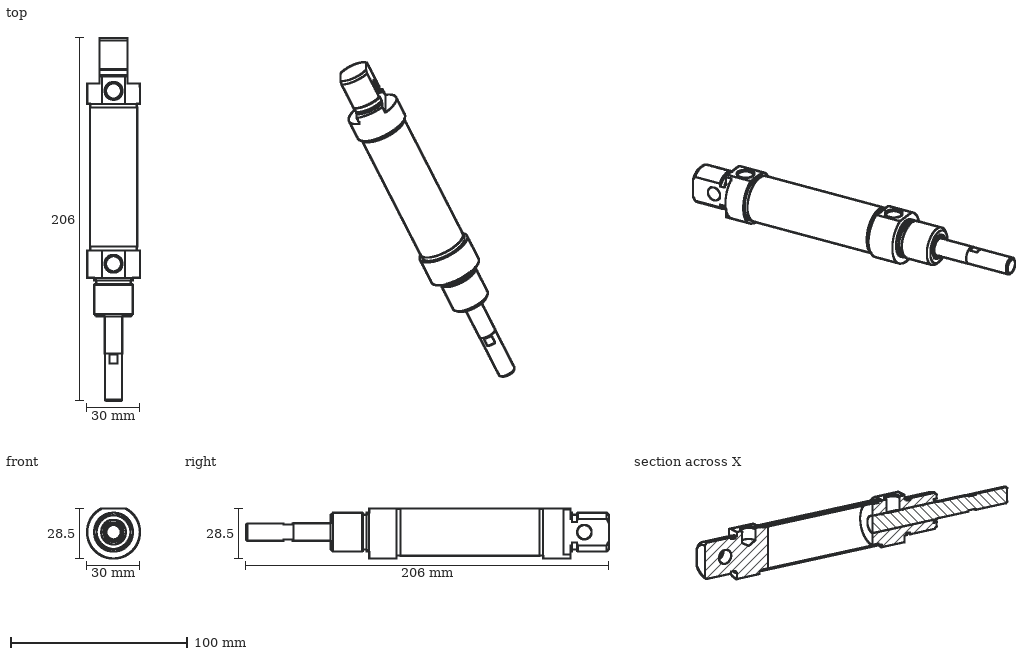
import cadquery as cq

TOTAL_LENGTH = 206.0

BARREL_DIA = 27.0
HEAD_FLAT_Z = BARREL_DIA / 2
BARREL_BORE = 25.0
BARREL_START = 87.8
BARREL_END = 166.7
SPIGOT_LENGTH = 4.1

HEAD_DIA = 30.0
COLLAR_DIA = 26.5
NOSE_DIA = 22.0
UNDERCUT_DIA = 19.8
NOSE_CHAMFER = 1.5
UNDERCUT_CHAMFER = 0.5

PORT_DIA = 8.7
PORT_RIM_DIA = 10.0
REAR_PORT_DEPTH = 7.5
PORT_TIP_DEPTH = 2.5
PORT_CHAMFER = (PORT_RIM_DIA - PORT_DIA) / 2

NOSE_START = 48.0
FRONT_UNDERCUT_START = 66.3
FRONT_UNDERCUT_END = 68.4
FRONT_HEAD_START = 69.8
FRONT_HEAD_END = 85.5
FRONT_PORT_Y = 77.9
FRONT_PORT_DEPTH = HEAD_FLAT_Z
SEAL_RECESS_DIA = 14.0
SEAL_RECESS_DEPTH = 2.0
SEAL_LIP_DIA = 11.1

REAR_HEAD_START = 168.5
REAR_HEAD_END = 184.2
REAR_PORT_Y = 176.0
REAR_UNDERCUT_START = 185.0
REAR_UNDERCUT_END = 187.9
CLEVIS_WIDTH = 16.0
CLEVIS_FLAT_START = 180.2
CLEVIS_HOLE_DIA = 8.0
CLEVIS_HOLE_Y = 192.0

ROD_DIA = 10.0
ROD_END_DIA = 9.9
ROD_SHOULDER_Y = 27.0
ROD_CHAMFER = 0.8
ROD_FLAT_START = 21.5
ROD_FLAT_END = 26.4
ROD_FLAT_SPACING = 8.7


def cylinder(diameter, start, end):
    """Round bar on the Y axis between two stations."""
    return cq.Workplane("XZ", origin=(0, start, 0)).circle(diameter / 2).extrude(start - end)


def block(x_size, z_size, start, end):
    """Rectangular bar centred on the Y axis between two stations."""
    return cq.Workplane("XZ", origin=(0, start, 0)).rect(x_size, z_size).extrude(start - end)


def make_head(start, end):
    """Round cap head with a flat on its top."""
    waste = block(HEAD_DIA, HEAD_DIA, start, end).translate((0, 0, HEAD_FLAT_Z + HEAD_DIA / 2))
    return cylinder(HEAD_DIA, start, end).cut(waste)


def port_cutter(y, depth):
    """Drill shape with a chamfered mouth and a conical tip."""
    profile = [
        (0, HEAD_FLAT_Z),
        (PORT_RIM_DIA / 2, HEAD_FLAT_Z),
        (PORT_DIA / 2, HEAD_FLAT_Z - PORT_CHAMFER),
        (PORT_DIA / 2, HEAD_FLAT_Z - depth),
        (0, HEAD_FLAT_Z - depth - PORT_TIP_DEPTH),
    ]
    drill = cq.Workplane("XZ").polyline(profile).close().revolve(360, (0, 0), (0, 1))
    return drill.translate((0, y, 0))


def make_front_cap():
    spigot_end = BARREL_START + SPIGOT_LENGTH
    nose = (
        cylinder(NOSE_DIA, NOSE_START, FRONT_UNDERCUT_START)
        .faces("<Y").chamfer(NOSE_CHAMFER)
        .faces(">Y").chamfer(UNDERCUT_CHAMFER)
    )
    cap = (
        nose
        .union(cylinder(UNDERCUT_DIA, FRONT_UNDERCUT_START, FRONT_UNDERCUT_END))
        .union(cylinder(NOSE_DIA, FRONT_UNDERCUT_END, FRONT_HEAD_START))
        .union(make_head(FRONT_HEAD_START, FRONT_HEAD_END))
        .union(cylinder(COLLAR_DIA, FRONT_HEAD_END, BARREL_START))
        .union(cylinder(BARREL_BORE, BARREL_START, spigot_end))
    )
    lip_blank = cq.Workplane("XZ", origin=(0, NOSE_START + SEAL_RECESS_DEPTH, 0)).circle(SEAL_RECESS_DIA / 2)
    lip = lip_blank.workplane(offset=SEAL_RECESS_DEPTH).circle(SEAL_LIP_DIA / 2).loft()
    seal_recess = cylinder(SEAL_RECESS_DIA, NOSE_START, NOSE_START + SEAL_RECESS_DEPTH).cut(lip)
    rod_bore = cylinder(ROD_DIA, NOSE_START, spigot_end)
    return cap.cut(seal_recess).cut(rod_bore).cut(port_cutter(FRONT_PORT_Y, FRONT_PORT_DEPTH))


def make_barrel():
    return cylinder(BARREL_DIA, BARREL_START, BARREL_END).cut(
        cylinder(BARREL_BORE, BARREL_START, BARREL_END))


def make_rear_cap():
    clevis = (
        cylinder(NOSE_DIA, REAR_UNDERCUT_END, TOTAL_LENGTH)
        .faces(">Y").chamfer(NOSE_CHAMFER)
        .faces("<Y").chamfer(UNDERCUT_CHAMFER)
    )
    cap = (
        clevis
        .union(cylinder(UNDERCUT_DIA, REAR_UNDERCUT_START, REAR_UNDERCUT_END))
        .union(cylinder(NOSE_DIA, REAR_HEAD_END, REAR_UNDERCUT_START))
        .union(make_head(REAR_HEAD_START, REAR_HEAD_END))
        .union(cylinder(COLLAR_DIA, BARREL_END, REAR_HEAD_START))
        .union(cylinder(BARREL_BORE, BARREL_END - SPIGOT_LENGTH, BARREL_END))
    )
    side_waste = block(HEAD_DIA, HEAD_DIA, CLEVIS_FLAT_START, TOTAL_LENGTH).cut(
        block(CLEVIS_WIDTH, HEAD_DIA, CLEVIS_FLAT_START, TOTAL_LENGTH))
    cross_hole = (
        cq.Workplane("YZ").center(CLEVIS_HOLE_Y, 0)
        .circle(CLEVIS_HOLE_DIA / 2).extrude(CLEVIS_WIDTH, both=True)
    )
    return cap.cut(side_waste).cut(cross_hole).cut(port_cutter(REAR_PORT_Y, REAR_PORT_DEPTH))


def make_rod():
    tip = cylinder(ROD_END_DIA, 0, ROD_SHOULDER_Y).faces("<Y").chamfer(ROD_CHAMFER)
    rod = tip.union(cylinder(ROD_DIA, ROD_SHOULDER_Y, BARREL_START + SPIGOT_LENGTH))
    flat_waste = block(ROD_DIA, ROD_DIA, ROD_FLAT_START, ROD_FLAT_END).cut(
        block(ROD_DIA, ROD_FLAT_SPACING, ROD_FLAT_START, ROD_FLAT_END))
    return rod.cut(flat_waste)


front_cap = make_front_cap()
barrel = make_barrel()
rear_cap = make_rear_cap()
rod = make_rod()

result = cq.Compound.makeCompound([front_cap.val(), barrel.val(), rear_cap.val(), rod.val()])